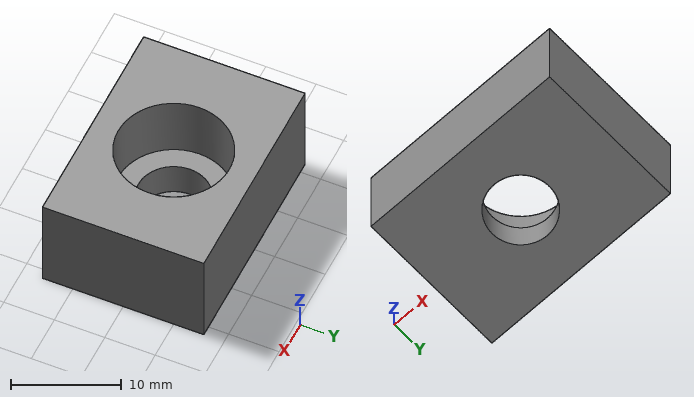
import cadquery as cq

length = 22.0
width = 16.0
height = 10.0

counterbore_diameter = length / 2
counterbore_depth = 6.5
through_hole_diameter = 7.0

block = cq.Workplane("XY").box(length, width, height)

result = block.faces(">Z").workplane().cboreHole(
    through_hole_diameter, counterbore_diameter, counterbore_depth
)